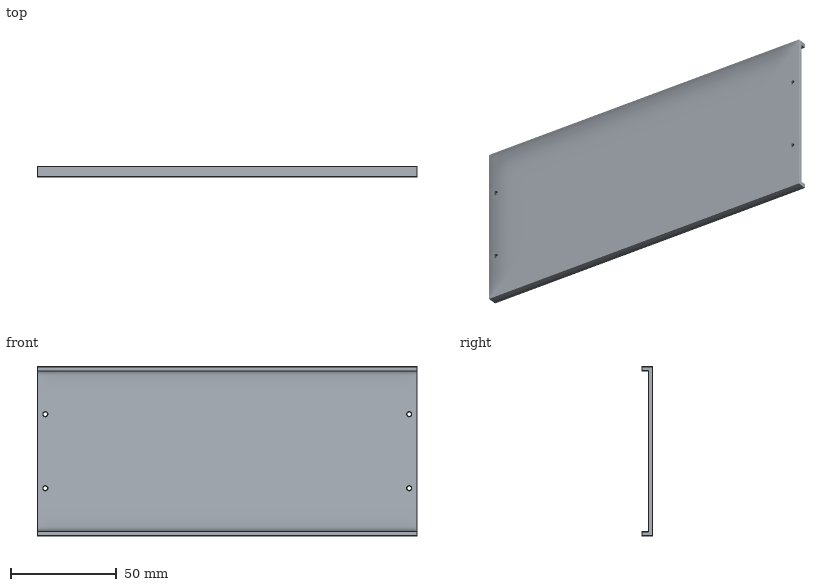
import cadquery as cq

length = 179.6
depth = 5.0
height = 80.0

plate_thickness = 2.0
flange_thickness = 2.0

hole_diameter = 2.2
hole_spacing_x = 172.0
hole_spacing_z = 35.0


def make_channel():
    """Channel along X, centred on the origin: a plate on the +Y side with two flanges facing -Y."""
    block = cq.Workplane("XY").box(length, depth, height)
    recess_depth = depth - plate_thickness
    recess_height = height - 2 * flange_thickness
    recess = (
        cq.Workplane("XY")
        .box(length, recess_depth, recess_height)
        .translate((0, -plate_thickness / 2, 0))
    )
    return block.cut(recess)


def make_holes():
    """Pins along Y that cut the four through holes."""
    return (
        cq.Workplane("XZ")
        .rect(hole_spacing_x, hole_spacing_z, forConstruction=True)
        .vertices()
        .circle(hole_diameter / 2)
        .extrude(depth / 2, both=True)
    )


result = make_channel().cut(make_holes())